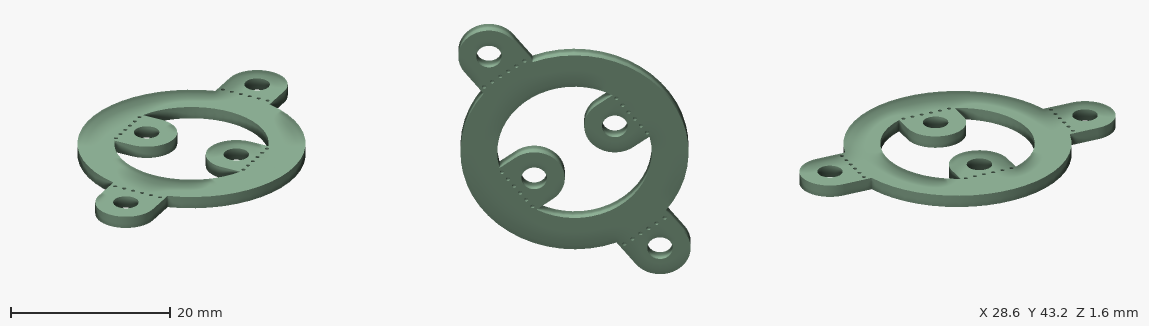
import cadquery as cq

length = 43.2
thickness = 1.6
ring_diameter = 28.63
bore_diameter = 19.4
tab_width = 7.7
screw_hole_diameter = 3.2
inner_tab_offset = 6.35

perforation_diameter = 0.5
perforation_row_length = 6.35
perforation_count = 6
outer_row_offset = 14.55
inner_row_offset = 9.02

tab_radius = tab_width / 2
perforation_pitch = perforation_row_length / (perforation_count - 1)
outer_tab_offset = length / 2 - tab_radius
ring_mid_radius = (ring_diameter + bore_diameter) / 4


def make_tab(hole_offset, angle):
    """Round-ended tab rooted in the ring, turned about Z from the +X direction."""
    root_length = abs(ring_mid_radius - hole_offset)
    root = (
        cq.Workplane("XY")
        .center((ring_mid_radius + hole_offset) / 2, 0)
        .rect(root_length, tab_width)
        .extrude(thickness)
    )
    tip = cq.Workplane("XY").center(hole_offset, 0).circle(tab_radius).extrude(thickness)
    return root.union(tip).rotate((0, 0, 0), (0, 0, 1), angle)


def make_tab_holes(hole_offset, row_offset, angle):
    """Cutters for a tab's screw hole and its row of perforations."""
    row_start = -perforation_row_length / 2
    row = [(row_offset, row_start + i * perforation_pitch) for i in range(perforation_count)]
    screw_hole = (
        cq.Workplane("XY").center(hole_offset, 0).circle(screw_hole_diameter / 2).extrude(thickness)
    )
    perforations = cq.Workplane("XY").pushPoints(row).circle(perforation_diameter / 2).extrude(thickness)
    return screw_hole.add(perforations).combine().rotate((0, 0, 0), (0, 0, 1), angle)


tabs = [
    (inner_tab_offset, inner_row_offset, 0),
    (outer_tab_offset, outer_row_offset, 90),
    (inner_tab_offset, inner_row_offset, 180),
    (outer_tab_offset, outer_row_offset, 270),
]

result = cq.Workplane("XY").circle(ring_diameter / 2).circle(bore_diameter / 2).extrude(thickness)
for hole_offset, row_offset, angle in tabs:
    result = result.union(make_tab(hole_offset, angle))
for hole_offset, row_offset, angle in tabs:
    result = result.cut(make_tab_holes(hole_offset, row_offset, angle))